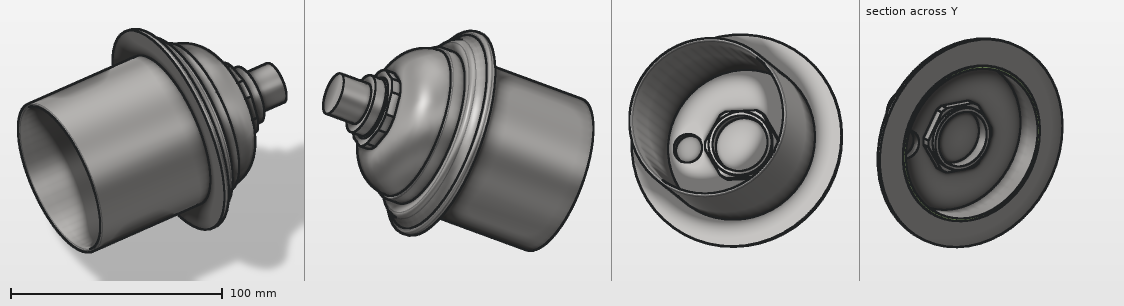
import cadquery as cq
import math

total_length = 119.4

cup_diameter = 76.2
bore_diameter = 73.0
cup_length = 76.3
rim_fillet = 0.5
floor_thickness = (cup_diameter - bore_diameter) / 2
floor_y = cup_length - floor_thickness

flange_diameter = 101.6
flange_base_y = 60.2
flange_step_y = 63.4
flange_waist_y = 67.3
flange_top_y = 69.6
flange_fillet = 1.5
flange_foot_radius = 48.2
flange_waist_radius = 44.8
flange_top_radius = 42.4
cove_arc_radius = 8.4
crown_arc_radius = 2.6

dome_diameter = bore_diameter
dome_arc_radius = 17.4
dome_top_y = cup_length + dome_arc_radius

outer_nut_flats = 36.3
outer_nut_corners = 38.0
outer_nut_height = 4.5
outer_nut_top_y = dome_top_y + outer_nut_height
collar_base_diameter = 30.5
collar_diameter = 28.5
collar_base_height = 0.7
collar_top_y = 104.6
pin_diameter = 20.3

inner_nut_flats = 32.0
inner_nut_corners = 35.2
inner_nut_height = outer_nut_height
tube_diameter = collar_base_diameter
tube_bore_diameter = 26.6
tube_projection = 2.4
side_hole_diameter = 13.7
side_hole_offset = 26.9
side_hole_depth = 4.8


def cylinder(diameter, start_y, end_y, x=0):
    """Cylinder parallel to Y between two positions."""
    base = cq.Workplane("XZ", origin=(x, start_y, 0))
    return base.circle(diameter / 2).extrude(start_y - end_y)


def nut(across_flats, across_corners, start_y, end_y):
    """Hexagon with corners on X and flats facing Z, its corners turned to a cylinder."""
    sharp_corners = across_flats / math.cos(math.pi / 6)
    base = cq.Workplane("XZ", origin=(0, start_y, 0))
    hexagon = base.polygon(6, sharp_corners).extrude(start_y - end_y)
    return hexagon.intersect(cylinder(across_corners, start_y, end_y))


def make_cup():
    shell = cylinder(cup_diameter, 0, cup_length).cut(cylinder(bore_diameter, 0, floor_y))
    shell = shell.faces("<Y").edges().fillet(rim_fillet)
    return shell.faces(">Y").edges().fillet(rim_fillet)


def make_flange():
    """Ring with a rounded outer edge, a concave cove and a convex crown."""
    outer_radius = flange_diameter / 2
    inner_radius = (bore_diameter + cup_diameter) / 4
    profile = (
        cq.Workplane("XY")
        .moveTo(inner_radius, flange_base_y)
        .lineTo(outer_radius, flange_base_y)
        .lineTo(outer_radius, flange_step_y - flange_fillet)
        .radiusArc((outer_radius - flange_fillet, flange_step_y), -flange_fillet)
        .lineTo(flange_foot_radius, flange_step_y)
        .radiusArc((flange_waist_radius, flange_waist_y), cove_arc_radius)
        .radiusArc((flange_top_radius, flange_top_y), -crown_arc_radius)
        .lineTo(inner_radius, flange_top_y)
        .close()
    )
    return profile.revolve(360, (0, 0, 0), (0, 1, 0))


def make_dome():
    dome_radius = dome_diameter / 2
    profile = (
        cq.Workplane("XY")
        .moveTo(0, floor_y)
        .lineTo(dome_radius, floor_y)
        .lineTo(dome_radius, cup_length)
        .radiusArc((dome_radius - dome_arc_radius, dome_top_y), -dome_arc_radius)
        .lineTo(0, dome_top_y)
        .close()
    )
    return profile.revolve(360, (0, 0, 0), (0, 1, 0))


def make_outer_fittings():
    collar_base = (
        cq.Workplane("XZ", origin=(0, outer_nut_top_y, 0))
        .circle(collar_base_diameter / 2)
        .workplane(offset=-collar_base_height)
        .circle(collar_diameter / 2)
        .loft(ruled=True)
    )
    return (
        nut(outer_nut_flats, outer_nut_corners, dome_top_y, outer_nut_top_y)
        .union(collar_base)
        .union(cylinder(collar_diameter, outer_nut_top_y, collar_top_y))
        .union(cylinder(pin_diameter, collar_top_y, total_length))
    )


def make_inner_fittings():
    nut_face_y = floor_y - inner_nut_height
    tube_end_y = nut_face_y - tube_projection
    return (
        nut(inner_nut_flats, inner_nut_corners, nut_face_y, floor_y)
        .union(cylinder(tube_diameter, tube_end_y, floor_y))
        .cut(cylinder(tube_bore_diameter, tube_end_y, floor_y))
    )


side_hole = cylinder(side_hole_diameter, floor_y, floor_y + side_hole_depth, -side_hole_offset)

result = (
    make_cup()
    .union(make_flange())
    .union(make_dome())
    .union(make_outer_fittings())
    .union(make_inner_fittings())
    .cut(side_hole)
)